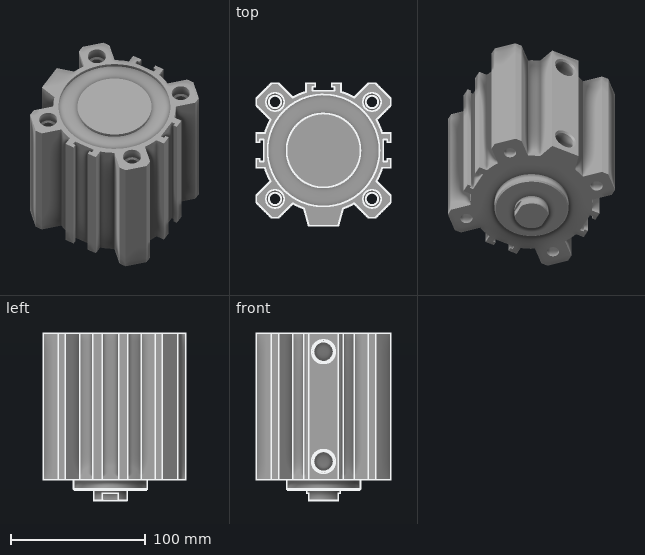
import cadquery as cq
import math


body_size = 100.0
body_height = 109.0
barrel_diameter = 91.0

bolt_offset = 36.0
lug_width = 23.5
bolt_diameter = 9.0
counterbore_diameter = 13.5
counterbore_depth = 8.5

rail_width = 26.0
slot_mouth_width = 12.0
slot_inner_width = 16.2
slot_lip = 2.8
slot_depth = 5.5
rail_angles = (0, 90, 180)

pad_face_y = -56.0
pad_face_width = 22.0
pad_flank_angle = 15.5

port_diameter = 14.95
port_mouth_diameter = 17.5
port_chamfer = (port_mouth_diameter - port_diameter) / 2
port_depth = 14.0
port_end_distance = 13.75

recess_diameter = 83.2
recess_depth = 2.5
disc_diameter = 55.0

collar_diameter = 55.0
collar_height = 7.5
collar_chamfer = 1.0

rod_diameter = 25.0
rod_projection = 8.0
rod_flat_width = 22.0
rod_flat_start = 2.5
rod_chamfer = 0.5
rod_top = body_height / 2

collar_bottom = -collar_height
rod_bottom = collar_bottom - rod_projection
rod_length = rod_top - rod_bottom


def corner_lugs():
    """Two diagonal bars, crossing on the axis, trimmed to the square envelope."""
    bar_length = 2 * bolt_offset * math.sqrt(2) + lug_width
    bar = cq.Workplane("XY").rect(bar_length, lug_width).extrude(body_height)
    bars = bar.rotate((0, 0, 0), (0, 0, 1), 45).union(bar.rotate((0, 0, 0), (0, 0, 1), 135))
    envelope = cq.Workplane("XY").rect(body_size, body_size).extrude(body_height)
    return bars.intersect(envelope)


def sensor_rail(angle):
    """A rail on the +X side with its T-slot open outward, turned about Z."""
    outer = body_size / 2
    rail = cq.Workplane("XY").rect(outer, rail_width).extrude(body_height).translate((outer / 2, 0, 0))
    return rail.rotate((0, 0, 0), (0, 0, 1), angle)


def t_slot(angle):
    outer = body_size / 2
    floor = outer - slot_depth
    lip = outer - slot_lip
    half_mouth = slot_mouth_width / 2
    half_inner = slot_inner_width / 2
    slot = (
        cq.Workplane("XY")
        .moveTo(outer, -half_mouth)
        .lineTo(lip, -half_mouth)
        .lineTo(lip, -half_inner)
        .lineTo(floor, -half_inner)
        .lineTo(floor, half_inner)
        .lineTo(lip, half_inner)
        .lineTo(lip, half_mouth)
        .lineTo(outer, half_mouth)
        .close()
        .extrude(body_height)
    )
    return slot.rotate((0, 0, 0), (0, 0, 1), angle)


def port_pad():
    """A pad that widens from its face toward the barrel axis."""
    half_face = pad_face_width / 2
    half_root = half_face - pad_face_y * math.tan(math.radians(pad_flank_angle))
    outline = [(-half_face, pad_face_y), (half_face, pad_face_y), (half_root, 0), (-half_root, 0)]
    return cq.Workplane("XY").polyline(outline).close().extrude(body_height)


def air_port(height):
    """A blind bore from the pad face with a chamfered mouth."""
    bore_radius = port_diameter / 2
    mouth_radius = port_mouth_diameter / 2
    outline = [
        (0, 0),
        (mouth_radius, 0),
        (bore_radius, port_chamfer),
        (bore_radius, port_depth),
        (0, port_depth),
    ]
    port = cq.Workplane("XY").polyline(outline).close().revolve(360, (0, 0, 0), (0, 1, 0))
    return port.translate((0, pad_face_y, height))


def bolt_hole(x, y):
    """A through hole with a counterbore in the top face."""
    hole = cq.Workplane("XY").circle(bolt_diameter / 2).extrude(body_height)
    counterbore = (
        cq.Workplane("XY")
        .workplane(offset=body_height - counterbore_depth)
        .circle(counterbore_diameter / 2)
        .extrude(counterbore_depth)
    )
    return hole.union(counterbore).translate((x, y, 0))


def head_recess():
    """A ring-shaped recess that leaves the centre disc standing."""
    return (
        cq.Workplane("XY")
        .workplane(offset=body_height - recess_depth)
        .circle(recess_diameter / 2)
        .circle(disc_diameter / 2)
        .extrude(recess_depth)
    )


def rod_collar():
    collar = cq.Workplane("XY").circle(collar_diameter / 2).extrude(-collar_height)
    return collar.faces("<Z").chamfer(collar_chamfer)


def rod_cylinder():
    return cq.Workplane("XY").workplane(offset=rod_bottom).circle(rod_diameter / 2).extrude(rod_length)


def build_housing():
    body = cq.Workplane("XY").circle(barrel_diameter / 2).extrude(body_height)
    body = body.union(corner_lugs()).union(port_pad()).union(rod_collar())
    for angle in rail_angles:
        body = body.union(sensor_rail(angle))
    for angle in rail_angles:
        body = body.cut(t_slot(angle))
    for x in (-bolt_offset, bolt_offset):
        for y in (-bolt_offset, bolt_offset):
            body = body.cut(bolt_hole(x, y))
    for height in (port_end_distance, body_height - port_end_distance):
        body = body.cut(air_port(height))
    return body.cut(head_recess()).cut(rod_cylinder())


def build_rod():
    """A round rod with two wrench flats, facing -X and +X, at its free end."""
    rod = rod_cylinder().faces("<Z").chamfer(rod_chamfer)
    flat_height = rod_projection - rod_flat_start
    flats = (
        cq.Workplane("XY")
        .workplane(offset=rod_bottom)
        .rect(2 * rod_diameter, rod_diameter)
        .rect(rod_flat_width, rod_diameter)
        .extrude(flat_height)
    )
    return rod.cut(flats)


housing = build_housing()
rod = build_rod()

result = cq.Compound.makeCompound([housing.val(), rod.val()])